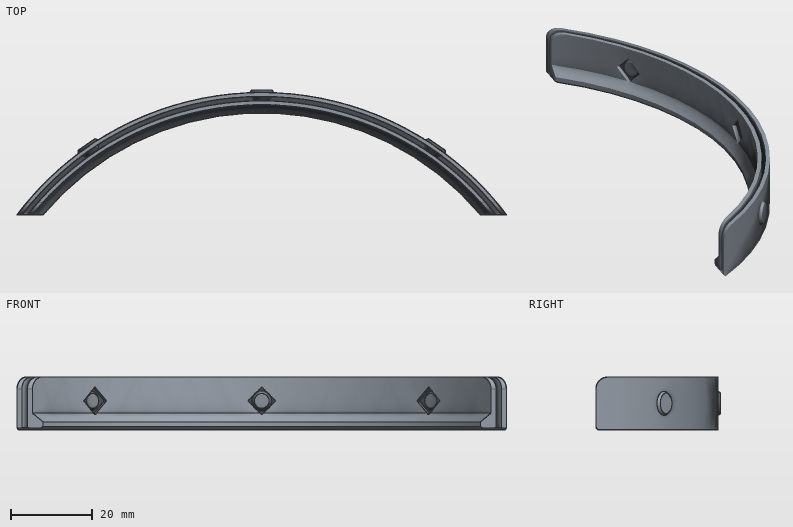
import cadquery as cq
import math

outer_radius = 75.0
half_span = 60.0
height = 13.0
axis_y = -math.sqrt(outer_radius**2 - half_span**2)
corner_radius = 3.0
end_chamfer = 0.5

slot_start = 1.0
slot_end = 2.0
wall_depth = 3.0
ledge_depth = 5.0

slot_floor = 0.6
ledge_top = 4.1
ledge_nose_top = 1.9
ledge_chamfer = 0.8

button_angles = (-34.6, 0, 34.6)
button_height = height / 2
window_height = 7.1
button_base_diameter = 6.2
button_tip_diameter = 5.0
button_projection = 0.6
stud_base_diameter = 5.3
stud_tip_diameter = 3.6
window_side = 4.8
embed = 0.2


def revolve_about_axis(points):
    """Revolve a closed (radius, z) profile about the arc axis."""
    profile = cq.Workplane("XZ").polyline(points).close()
    return profile.revolve(360, (0, 0, 0), (0, 1, 0)).translate((0, axis_y, 0))


def make_wall():
    """Ring with a sloped inner ledge, trimmed to the flat, rounded ends."""
    wall_radius = outer_radius - wall_depth
    ledge_radius = outer_radius - ledge_depth
    ring = revolve_about_axis([
        (outer_radius, 0),
        (outer_radius, height),
        (wall_radius, height),
        (wall_radius, ledge_top),
        (ledge_radius, ledge_nose_top),
        (ledge_radius, ledge_chamfer),
        (ledge_radius + ledge_chamfer, 0),
    ])
    side_depth = outer_radius + axis_y
    envelope = (
        cq.Workplane("XY")
        .box(2 * outer_radius, side_depth, height, centered=(True, False, False))
        .edges("<Y and >Z").fillet(corner_radius)
        .edges("<Y and <Z").chamfer(end_chamfer)
    )
    return ring.intersect(envelope)


def make_slot():
    """Narrow arc slot, open at the top and both ends."""
    outside = outer_radius - slot_start
    inside = outer_radius - slot_end
    return revolve_about_axis([
        (inside, slot_floor),
        (outside, slot_floor),
        (outside, height),
        (inside, height),
    ])


def radial_plane(angle, radius, plane_height):
    """Plane at the given angle, radius and height, with its normal pointing outward."""
    turn = math.radians(angle)
    outward = (math.sin(turn), math.cos(turn), 0)
    origin = (radius * outward[0], axis_y + radius * outward[1], plane_height)
    return cq.Workplane(cq.Plane(origin, (outward[1], -outward[0], 0), outward))


def make_frustum(plane, base_diameter, tip_diameter, length):
    return (
        plane.circle(base_diameter / 2)
        .workplane(offset=length).circle(tip_diameter / 2).loft(ruled=True)
    )


def make_window(angle):
    """Diamond cutter through the inner shell, starting inside the slot."""
    slot_middle = outer_radius - (slot_start + slot_end) / 2
    plane = radial_plane(angle, slot_middle, window_height)
    return plane.transformed(rotate=(0, 0, 45)).rect(window_side, window_side).extrude(-ledge_depth)


def make_button(angle):
    """Tapered button on the outside of the outer shell."""
    plane = radial_plane(angle, outer_radius - embed, button_height)
    return make_frustum(plane, button_base_diameter, button_tip_diameter, button_projection + embed)


def make_stud(angle):
    """Tapered stud on the slot side of the outer shell."""
    plane = radial_plane(angle, outer_radius - slot_start + embed, window_height)
    slot_width = slot_end - slot_start
    return make_frustum(plane, stud_base_diameter, stud_tip_diameter, -(slot_width + embed))


result = make_wall().cut(make_slot())
for button_angle in button_angles:
    result = result.cut(make_window(button_angle))
    result = result.union(make_button(button_angle)).union(make_stud(button_angle))